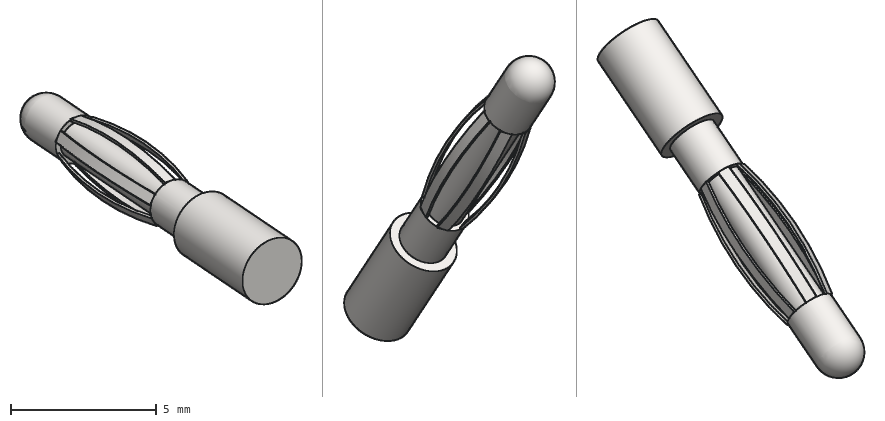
import cadquery as cq

total_length = 14.4
pin_diameter = 1.8
core_diameter = 1.4
barrel_diameter = 2.5
barrel_length = 4.1
nose_radius = pin_diameter / 2

leaf_count = 6
leaf_start = 2.75
leaf_end = 8.4
leaf_thickness = 0.1
leaf_end_height = pin_diameter / 2
leaf_crest_height = 1.23
leaf_wide_side = 0.287
leaf_narrow_side = 0.14

barrel_start = total_length - barrel_length


def cylinder(start, end, diameter):
    """Solid cylinder on the X axis between two X positions."""
    return cq.Workplane("YZ", origin=(start, 0, 0)).circle(diameter / 2).extrude(end - start)


def body():
    """Round-nosed tip, narrow core, neck and rear barrel."""
    nose = cq.Workplane("XY").sphere(nose_radius).translate((nose_radius, 0, 0))
    tip = cylinder(nose_radius, leaf_start, pin_diameter).union(nose)
    core = cylinder(leaf_start, leaf_end, core_diameter)
    neck = cylinder(leaf_end, barrel_start, pin_diameter)
    barrel = cylinder(barrel_start, total_length, barrel_diameter)
    return tip.union(core).union(neck).union(barrel)


def leaf():
    """One leaf above the core, arching from the tip to the neck."""
    middle = (leaf_start + leaf_end) / 2
    inner_end_height = leaf_end_height - leaf_thickness
    inner_crest_height = leaf_crest_height - leaf_thickness
    return (
        cq.Workplane("XZ", origin=(0, leaf_narrow_side, 0))
        .moveTo(leaf_start, leaf_end_height)
        .threePointArc((middle, leaf_crest_height), (leaf_end, leaf_end_height))
        .lineTo(leaf_end, inner_end_height)
        .threePointArc((middle, inner_crest_height), (leaf_start, inner_end_height))
        .close()
        .extrude(leaf_narrow_side + leaf_wide_side)
    )


result = body()
for index in range(leaf_count):
    angle = index * 360 / leaf_count
    result = result.union(leaf().rotate((0, 0, 0), (1, 0, 0), angle))